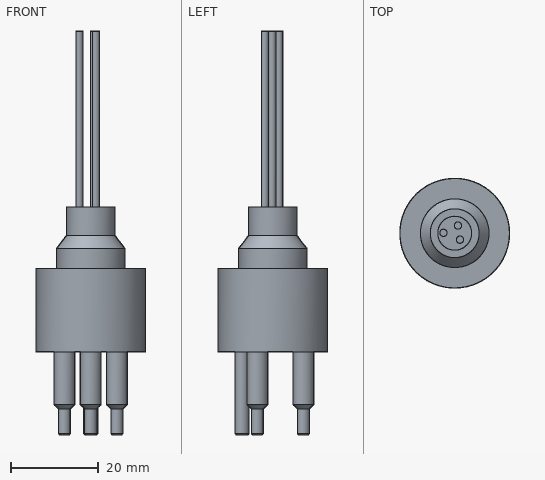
import cadquery as cq

total_height = 92.0

body_diameter = 25.0
body_height = 19.0
collar_diameter = 15.6
collar_height = 4.5
cone_height = 2.9
neck_diameter = 11.1
neck_height = 6.5
bore_diameter = 7.7
bore_depth = neck_height

pin_length = 18.95
pin_offset = 7.0
side_pin_x = 6.0
side_pin_y = pin_offset / 2
pin_centers = [(-side_pin_x, side_pin_y), (side_pin_x, side_pin_y), (0, -pin_offset)]
shank_diameter = 4.8
tip_diameter = 2.8
tip_length = 6.0
shoulder_height = (shank_diameter - tip_diameter) / 2

guide_diameter = 3.2
guide_center = (0, pin_offset)

end_chamfer = 0.4

wire_diameter = 1.7
wire_centers = [(-2.6, 0.1), (0.7, 1.75), (1.2, -1.5)]

body_top = pin_length + body_height
collar_top = body_top + collar_height
cone_top = collar_top + cone_height
neck_top = cone_top + neck_height
bore_floor = neck_top - bore_depth


def revolve_about_z(profile):
    """Revolve an outline of (radius, height) points that starts and ends on the Z axis."""
    return cq.Workplane("XZ").polyline(profile).close().revolve(360, (0, 0), (0, 1))


def make_body():
    body_radius = body_diameter / 2
    collar_radius = collar_diameter / 2
    neck_radius = neck_diameter / 2
    bore_radius = bore_diameter / 2
    return revolve_about_z([
        (0, pin_length),
        (body_radius, pin_length),
        (body_radius, body_top),
        (collar_radius, body_top),
        (collar_radius, collar_top),
        (neck_radius, cone_top),
        (neck_radius, neck_top),
        (bore_radius, neck_top),
        (bore_radius, bore_floor),
        (0, bore_floor),
    ])


def make_contact_pin():
    shank_radius = shank_diameter / 2
    tip_radius = tip_diameter / 2
    return revolve_about_z([
        (0, 0),
        (tip_radius - end_chamfer, 0),
        (tip_radius, end_chamfer),
        (tip_radius, tip_length),
        (shank_radius, tip_length + shoulder_height),
        (shank_radius, pin_length),
        (0, pin_length),
    ])


def make_guide_pin():
    pin = cq.Workplane("XY").circle(guide_diameter / 2).extrude(pin_length)
    return pin.faces("<Z").chamfer(end_chamfer)


def make_wires():
    floor = cq.Workplane("XY").workplane(offset=bore_floor)
    wires = floor.pushPoints(wire_centers).circle(wire_diameter / 2)
    return wires.extrude(total_height - bore_floor)


result = make_body()
for pin_center in pin_centers:
    result = result.union(make_contact_pin().translate((*pin_center, 0)))
result = result.union(make_guide_pin().translate((*guide_center, 0)))
result = result.union(make_wires())